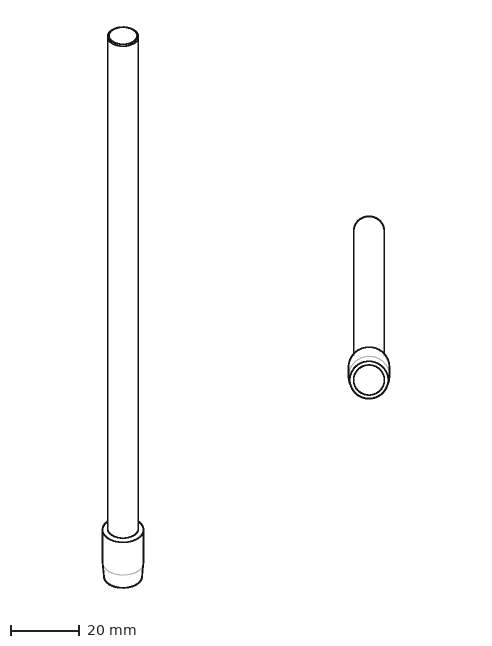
import cadquery as cq

total_length = 200.0
shaft_diameter = 9.0
tip_chamfer = 0.5

sleeve_diameter = 12.0
sleeve_height = 17.5
tapered_end_diameter = 11.2
taper_height = 5.2
shoulder_rise = 0.5


def make_shaft():
    """Round rod running the full length, with its upper rim chamfered."""
    rod = cq.Workplane("XY").circle(shaft_diameter / 2).extrude(total_length)
    return rod.faces(">Z").chamfer(tip_chamfer)


def make_sleeve():
    """Turned sleeve: tapered lower end, straight collar and shallow conical top around a through bore."""
    bore_radius = shaft_diameter / 2
    collar_radius = sleeve_diameter / 2
    half_section = (
        cq.Workplane("XZ")
        .moveTo(bore_radius, 0)
        .lineTo(tapered_end_diameter / 2, 0)
        .lineTo(collar_radius, taper_height)
        .lineTo(collar_radius, sleeve_height - shoulder_rise)
        .lineTo(bore_radius, sleeve_height)
        .close()
    )
    return half_section.revolve(360, (0, 0, 0), (0, 1, 0))


shaft = make_shaft()
sleeve = make_sleeve()
result = cq.Compound.makeCompound([shaft.val(), sleeve.val()])